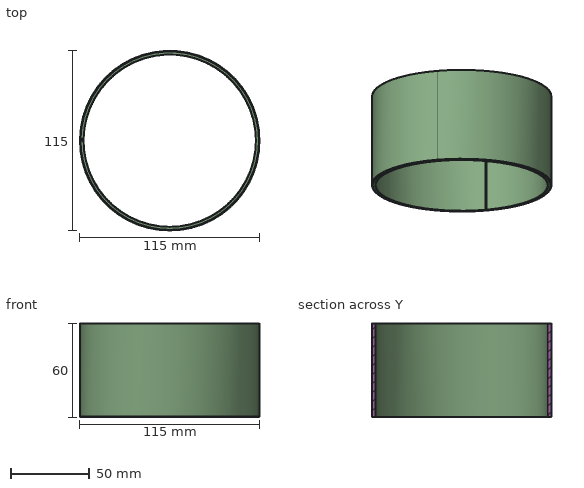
import cadquery as cq

outer_diameter = 115.0
wall = 2.5
height = 60.0
slit_width = 1.0
outer_chamfer_length = 0.5
outer_chamfer_depth = 0.6
inner_chamfer = 0.2

outer_radius = outer_diameter / 2
inner_radius = outer_radius - wall
outer_rim_radius = outer_radius - outer_chamfer_depth
inner_rim_radius = inner_radius + inner_chamfer


def bushing_wall():
    """Full ring with chamfered outer and inner rims."""
    profile = (
        cq.Workplane("XZ")
        .moveTo(inner_rim_radius, 0)
        .lineTo(outer_rim_radius, 0)
        .lineTo(outer_radius, outer_chamfer_length)
        .lineTo(outer_radius, height - outer_chamfer_length)
        .lineTo(outer_rim_radius, height)
        .lineTo(inner_rim_radius, height)
        .lineTo(inner_radius, height - inner_chamfer)
        .lineTo(inner_radius, inner_chamfer)
        .close()
    )
    return profile.revolve(360, (0, 0, 0), (0, 1, 0))


def slit():
    """Full-height cut through the wall on the -X side."""
    cutter = cq.Workplane("XY").box(outer_diameter, slit_width, height, centered=False)
    return cutter.translate((-outer_diameter, 0, 0))


result = bushing_wall().cut(slit())